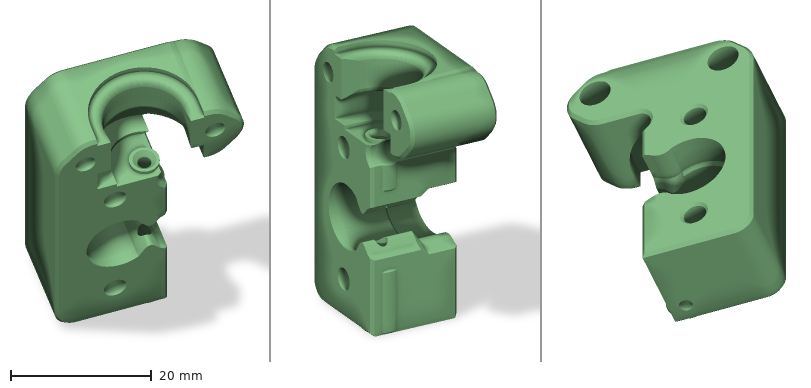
import cadquery as cq
import math

thickness = 14.2
height = 41.0
edge_chamfer = 0.5
corner_radius = 4.0
lobe_tip_radius = 3.6
overrun = 2.05

back_y = 16.85
foot_radius = 3.0
front_bevel = 4.1
ramp_start_y = 21.55
ramp_end_y = 22.43
lobe_bottom_z = 30.25
lobe_top_z = 40.8
lobe_tip_y = 28.37

notch_radius = 1.93
notch_y = 17.55
notch_z = lobe_bottom_z - notch_radius
bevel_y = 16.55
bevel_slope = 0.6

screw_x = 11.25
screw_y = 14.25
screw_diameter = 2.0
screw_sink_diameter = 3.4
pad_diameter = 4.4
column_radius = 2.85
column_chamfer = column_radius - (back_y - screw_y)
lower_column_top_z = 9.92
upper_column_bottom_z = 22.15

shelf_radius = 8.05
shelf_z = 40.0
throat_radius = 6.03
throat_fillet = 1.0
undercut_top_z = 33.65
undercut_floor_z = 29.97
recess_radius = 5.1
recess_z = 29.4

clip_y = 9.6
clip_z = 16.0
rod_radius = 5.0
wide_radius = rod_radius + edge_chamfer
wide_depth = 4.75
lip_taper = 1.3
lip_end_y = 12.4

mouth_y = back_y + overrun
wide_mouth = (mouth_y, 6.2)
wide_knee = (15.38, 4.4)
wide_crown = (14.2, 3.98)
narrow_mouth = (mouth_y, 5.25)
narrow_knee = (15.8, 3.6)
narrow_crown = [(14.9, 2.65), (14.2, 2.25), (13.5, 2.65)]

pinch_hole_diameter = 3.4
pinch_sink_diameter = 4.22
pinch_hole_y = 8.9
pinch_hole_z = (6.03, 26.5)
mount_hole_diameter = 3.0
mount_bore_diameter = 4.7
mount_bore_depth = thickness / 2
mount_hole_y = (4.45, 23.9)
mount_hole_z = 36.5

diagonal = math.sqrt(0.5)
slope_y = notch_y - notch_radius * diagonal
slope_z = notch_z - notch_radius * diagonal
bevel_z = slope_z - (bevel_y - slope_y)


def side_sketch(x=0.0):
    """Workplane in the YZ plane at the given X; local axes are Y and Z."""
    return cq.Workplane("YZ", origin=(x, 0, 0))


def bevel_height(y):
    """Height of the shallow bevel below the notch."""
    return bevel_z - bevel_slope * (y - bevel_y)


def make_body():
    lobe_half = (lobe_top_z - lobe_bottom_z) / 2
    lobe_point_y = lobe_tip_y + lobe_tip_radius * (math.sqrt(2) - 1)
    lobe_corner_y = lobe_point_y - lobe_half
    lobe_mid_z = lobe_bottom_z + lobe_half
    body = (
        side_sketch()
        .lineTo(back_y, 0)
        .lineTo(back_y, bevel_height(back_y))
        .lineTo(bevel_y, bevel_z)
        .lineTo(slope_y, slope_z)
        .threePointArc((notch_y - notch_radius, notch_z), (notch_y, lobe_bottom_z))
        .lineTo(lobe_corner_y, lobe_bottom_z)
        .lineTo(lobe_point_y, lobe_mid_z)
        .lineTo(lobe_corner_y, lobe_top_z)
        .lineTo(ramp_end_y, lobe_top_z)
        .lineTo(ramp_start_y, height)
        .lineTo(front_bevel, height)
        .lineTo(0, height - front_bevel)
        .close()
        .extrude(thickness)
    )
    rounded_corners = [
        (0, 0, foot_radius),
        (0, height - front_bevel, corner_radius),
        (front_bevel, height, corner_radius),
        (lobe_corner_y, lobe_top_z, corner_radius),
        (lobe_point_y, lobe_mid_z, lobe_tip_radius),
        (lobe_corner_y, lobe_bottom_z, corner_radius),
    ]
    for y, z, radius in rounded_corners:
        corner = cq.selectors.NearestToPointSelector((thickness / 2, y, z))
        body = body.edges("|X").edges(corner).fillet(radius)
    return body.faces("<X or >X").chamfer(edge_chamfer)


def make_column(bottom_z, top_z):
    """Round column around the screw, chamfered at both ends."""
    return (
        cq.Workplane("XY", origin=(screw_x, screw_y, bottom_z))
        .circle(column_radius)
        .extrude(top_z - bottom_z)
        .edges()
        .chamfer(column_chamfer)
    )


def make_upper_column():
    """Column that ends in the bevel below the notch."""
    outer_y = screw_y + column_radius + overrun
    column = make_column(upper_column_bottom_z, notch_z)
    space_above = (
        side_sketch()
        .moveTo(slope_y, slope_z)
        .lineTo(bevel_y, bevel_z)
        .lineTo(outer_y, bevel_height(outer_y))
        .lineTo(outer_y, height)
        .lineTo(0, height)
        .lineTo(0, slope_z)
        .close()
        .extrude(thickness)
    )
    return column.cut(space_above)


def make_slot(radius, bottom_z, top_z):
    """Slot with one round end on the screw axis, running out of the +X side."""
    length = thickness - screw_x + overrun
    plane = cq.Workplane("XY", origin=(screw_x, screw_y, bottom_z))
    round_end = plane.circle(radius).extrude(top_z - bottom_z)
    straight = plane.rect(length, 2 * radius).extrude(top_z - bottom_z).translate((length / 2, 0, 0))
    return round_end.union(straight)


def make_throat_rounding():
    """Rounded flare at both ends of the throat, turned about the screw axis."""
    flare_radius = throat_radius + throat_fillet
    bend = throat_fillet * (1 - diagonal)
    profile = (
        cq.Workplane("XZ", origin=(screw_x, screw_y, 0))
        .moveTo(0, undercut_top_z)
        .lineTo(flare_radius, undercut_top_z)
        .threePointArc(
            (throat_radius + bend, undercut_top_z + bend),
            (throat_radius, undercut_top_z + throat_fillet),
        )
        .lineTo(throat_radius, shelf_z - throat_fillet)
        .threePointArc((throat_radius + bend, shelf_z - bend), (flare_radius, shelf_z))
        .lineTo(0, shelf_z)
        .close()
    )
    return profile.revolve(360, (0, 0, 0), (0, 1, 0))


def make_pocket():
    pad = (
        cq.Workplane("XY", origin=(screw_x, screw_y, recess_z))
        .circle(pad_diameter / 2)
        .extrude(undercut_floor_z - recess_z)
    )
    recess = make_slot(recess_radius, recess_z, undercut_floor_z).cut(pad)
    return (
        make_slot(shelf_radius, shelf_z, height + overrun)
        .union(make_slot(throat_radius, undercut_floor_z, shelf_z))
        .union(make_throat_rounding())
        .union(make_slot(shelf_radius, undercut_floor_z, undercut_top_z))
        .union(recess)
    )


def make_screw_hole():
    shank = cq.Workplane("XY", origin=(screw_x, screw_y, -overrun)).circle(screw_diameter / 2).extrude(height)
    sink_depth = (screw_sink_diameter - screw_diameter) / 2
    sink = cq.Solid.makeCone(
        screw_diameter / 2,
        screw_sink_diameter / 2,
        sink_depth,
        pnt=cq.Vector(screw_x, screw_y, undercut_floor_z - sink_depth),
    )
    return shank.union(cq.Workplane(sink))


def above(point):
    y, distance = point
    return (y, clip_z + distance)


def below(point):
    y, distance = point
    return (y, clip_z - distance)


def lip_end(radius):
    """Point where a lip meets the bore of the given radius."""
    return (lip_end_y, math.sqrt(radius ** 2 - (lip_end_y - clip_y) ** 2))


def wide_outline(x):
    """Mouth between two rounded lips."""
    end = lip_end(wide_radius)
    return (
        side_sketch(x)
        .moveTo(*below(wide_mouth))
        .lineTo(*below(wide_knee))
        .threePointArc(below(wide_crown), below(end))
        .lineTo(*above(end))
        .threePointArc(above(wide_crown), above(wide_knee))
        .lineTo(*above(wide_mouth))
        .close()
    )


def narrow_outline(x):
    """Mouth between two peaked lips that hold the rod."""
    end = lip_end(rod_radius)
    return (
        side_sketch(x)
        .moveTo(*below(narrow_mouth))
        .lineTo(*below(narrow_knee))
        .spline([below(point) for point in narrow_crown] + [below(end)], includeCurrent=True)
        .lineTo(*above(end))
        .spline([above(point) for point in reversed(narrow_crown)] + [above(narrow_knee)], includeCurrent=True)
        .lineTo(*above(narrow_mouth))
        .close()
    )


def make_clip_mouth():
    """Mouth that is wide from the -X side and tapers to the peaked lips."""
    lip_start = wide_depth + lip_taper
    wide_part = wide_outline(-overrun).extrude(wide_depth + overrun)
    wires = [wide_outline(wide_depth).val(), narrow_outline(lip_start).val()]
    taper = cq.Workplane(cq.Solid.makeLoft(wires, True))
    narrow_part = narrow_outline(lip_start).extrude(thickness - lip_start + overrun)
    return wide_part.union(taper).union(narrow_part)


def make_clip_bore():
    """Stepped round bore with a 45 degree shoulder, ending where the lips start."""
    bore = (
        cq.Workplane("XY", origin=(0, clip_y, clip_z))
        .lineTo(0, wide_radius)
        .lineTo(wide_depth, wide_radius)
        .lineTo(wide_depth + edge_chamfer, rod_radius)
        .lineTo(thickness, rod_radius)
        .lineTo(thickness, 0)
        .close()
        .revolve(360, (0, 0, 0), (1, 0, 0))
    )
    lip_zone = cq.Workplane("XY").box(thickness, back_y, height, centered=False).translate((0, lip_end_y, 0))
    return bore.cut(lip_zone)


def make_pinch_hole(z):
    """Cross hole with a countersunk mouth on the -X side."""
    sink_depth = (pinch_sink_diameter - pinch_hole_diameter) / 2
    hole = side_sketch().center(pinch_hole_y, z).circle(pinch_hole_diameter / 2).extrude(thickness)
    sink = cq.Solid.makeCone(
        pinch_sink_diameter / 2,
        pinch_hole_diameter / 2,
        sink_depth,
        pnt=cq.Vector(0, pinch_hole_y, z),
        dir=cq.Vector(1, 0, 0),
    )
    return hole.union(cq.Workplane(sink))


def make_mount_hole(y):
    """Cross hole counterbored from the -X side."""
    plane = side_sketch().center(y, mount_hole_z)
    hole = plane.circle(mount_hole_diameter / 2).extrude(thickness)
    bore = plane.circle(mount_bore_diameter / 2).extrude(mount_bore_depth)
    return hole.union(bore)


result = make_body()
result = result.union(make_column(0, lower_column_top_z)).union(make_upper_column())
result = result.cut(make_pocket()).cut(make_screw_hole()).cut(make_clip_mouth()).cut(make_clip_bore())
for hole_z in pinch_hole_z:
    result = result.cut(make_pinch_hole(hole_z))
for hole_y in mount_hole_y:
    result = result.cut(make_mount_hole(hole_y))